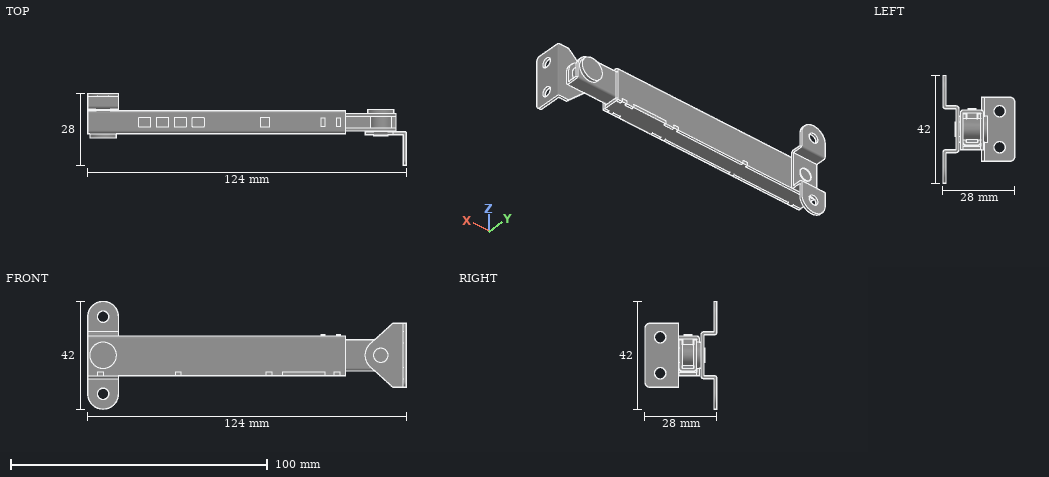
import cadquery as cq
import math


total_length = 124.0

housing_length = 100.5
housing_width = 9.0
housing_wall = 1.1
housing_roof = 1.2
housing_top = 7.6
housing_bottom = -8.0
housing_edge_radius = 1.2
bore_width = housing_width - 2 * housing_wall
bore_top = housing_top - housing_roof

window_width = 3.8
window_corner_radius = 0.4
row_window_length = 4.7
row_window_pitch = 7.0
row_window_count = 4
first_window_x = 22.2
single_window_length = 3.6
single_window_x = 69.1

lug_length = 1.6
lug_width = 3.2
lug_rise = 0.5
lug_centers_x = (91.6, 97.6)
stop_width = 4.1
stop_bottom = 3.7

floor_thickness = 1.5
floor_tabs = ((3.8, 6.2), (34.1, 36.3), (69.5, 71.7), (75.9, 92.4), (96.0, 98.2))

rivet_head_diameter = 10.3
rivet_head_thickness = 1.6
rivet_barrel_diameter = 8.2
rivet_stub_diameter = 5.6
rivet_stub_rise = 0.4

bracket_width = 12.0
bracket_sheet = 1.2
bracket_height = 42.0
bracket_back = 11.3
bracket_gap = 0.5
bracket_saddle_half = 9.2
bracket_bend_radius = 1.2
bracket_flange_bend_radius = 1.0
screw_hole_diameter = 4.3
wall_rivet_x = bracket_width / 2

slide_start = 55.8
slide_width = bore_width
slide_wall = 1.2
slide_top = 6.1
slide_bottom = -6.2
slide_edge_radius = 1.1
slide_end_radius = 6.0
slide_start_radius = 1.9
slide_rivet_x = 114.1
slide_end = slide_rivet_x + slide_end_radius

angle_sheet = 1.2
angle_height = 25.0
angle_gap = 0.2
angle_nose_radius = 6.1
angle_shoulder_x = 118.8
angle_front = -16.7
angle_corner_radius = 2.0
angle_bend_radius = 0.4
angle_hole_y = -10.8
angle_hole_spacing = 14.0


def box(x_range, y_range, z_range):
    """Block that spans the given ranges."""
    sizes = [end - start for start, end in (x_range, y_range, z_range)]
    corner = cq.Vector(x_range[0], y_range[0], z_range[0])
    return cq.Workplane(cq.Solid.makeBox(*sizes, corner))


def centered(middle, size):
    """Range of the given size about a middle value."""
    return (middle - size / 2, middle + size / 2)


def cylinder_y(x, z, diameter, y_start, y_end):
    """Cylinder along Y between two Y values."""
    start = cq.Vector(x, y_start, z)
    return cq.Workplane(cq.Solid.makeCylinder(diameter / 2, y_end - y_start, start, cq.Vector(0, 1, 0)))


def make_rivet(x, shank_width, wall, gap, sheet):
    """Rivet with its head on -Y; the stub goes through the far wall, a gap and a sheet."""
    side = shank_width / 2
    shoulder = side - wall
    head = cylinder_y(x, 0, rivet_head_diameter, -side - rivet_head_thickness, -side)
    barrel = cylinder_y(x, 0, rivet_barrel_diameter, -side, shoulder)
    stub = cylinder_y(x, 0, rivet_stub_diameter, shoulder, side + gap + sheet + rivet_stub_rise)
    return head.union(barrel).union(stub)


def make_floor():
    """Strip between the housing walls, with tabs that fill notches in the walls."""
    floor_z = (housing_bottom, housing_bottom + floor_thickness)
    floor = box((0, housing_length), centered(0, bore_width), floor_z)
    for tab_x in floor_tabs:
        floor = floor.union(box(tab_x, centered(0, housing_width), floor_z))
    return floor


def make_stop():
    """Block that hangs from the housing roof between the slide walls."""
    stop_x = (lug_centers_x[0] - lug_length / 2, lug_centers_x[-1] + lug_length / 2)
    stop = box(stop_x, centered(0, stop_width), (stop_bottom, bore_top))
    for lug_x in lug_centers_x:
        lug_z = (bore_top, housing_top + lug_rise)
        stop = stop.union(box(centered(lug_x, lug_length), centered(0, lug_width), lug_z))
    return stop


def make_window(x, length):
    """Cutter for one window in the housing roof."""
    window = box(centered(x, length), centered(0, window_width), (bore_top, housing_top))
    return window.edges("|Z").fillet(window_corner_radius)


def make_housing(floor, rivet):
    """Inverted channel with roof windows, the stop block, floor notches and the rivet hole."""
    whole_x = (0, housing_length)
    housing = box(whole_x, centered(0, housing_width), (housing_bottom, housing_top))
    housing = housing.edges("|X and >Z").fillet(housing_edge_radius)
    housing = housing.cut(box(whole_x, centered(0, bore_width), (housing_bottom, bore_top)))
    for i in range(row_window_count):
        housing = housing.cut(make_window(first_window_x + i * row_window_pitch, row_window_length))
    housing = housing.cut(make_window(single_window_x, single_window_length))
    return housing.union(make_stop()).cut(floor).cut(rivet)


def make_slide(rivet):
    """Channel with rounded upper ends and the rivet hole."""
    whole_x = (slide_start, slide_end)
    slide = box(whole_x, centered(0, slide_width), (slide_bottom, slide_top))
    slide = slide.edges("|X and <Z").fillet(slide_edge_radius)
    channel_z = (slide_bottom + slide_wall, slide_top)
    slide = slide.cut(box(whole_x, centered(0, slide_width - 2 * slide_wall), channel_z))
    slide = slide.edges("|Y and >X and >Z").fillet(slide_end_radius)
    slide = slide.edges("|Y and <X and >Z").fillet(slide_start_radius)
    return slide.cut(rivet)


def make_wall_bracket(rivet):
    """Hat-shaped sheet with round ears, fused with its rivet."""
    saddle = housing_width / 2 + bracket_gap
    ear_front = bracket_back - bracket_sheet
    whole_x = (0, bracket_width)
    hole_z = (bracket_height - bracket_width) / 2

    hat = box(whole_x, (saddle, bracket_back), centered(0, 2 * bracket_saddle_half))
    hat = hat.edges("|X and <Y").fillet(bracket_bend_radius)
    sheet = box(whole_x, (ear_front, bracket_back), centered(0, 2 * hole_z))
    for side in (-1, 1):
        sheet = sheet.union(
            cylinder_y(wall_rivet_x, side * hole_z, bracket_width, ear_front, bracket_back)
        )
    recess_half = bracket_saddle_half - bracket_sheet
    recess = box(whole_x, (saddle + bracket_sheet, bracket_back), centered(0, 2 * recess_half))
    bracket = hat.union(sheet).cut(recess)
    bracket = bracket.faces(">Y").edges("|X").fillet(bracket_flange_bend_radius)
    for side in (-1, 1):
        bracket = bracket.cut(
            cylinder_y(wall_rivet_x, side * hole_z, screw_hole_diameter, ear_front, bracket_back)
        )
    return bracket.union(rivet)


def make_angle_bracket(rivet):
    """Sheet with a round nose on the rivet and a flange turned toward -Y, fused with its rivet."""
    plate_back = -slide_width / 2 - angle_gap
    half_height = angle_height / 2
    run = angle_shoulder_x - slide_rivet_x
    distance = math.hypot(run, half_height)
    tangent_angle = math.atan2(half_height, run) + math.acos(angle_nose_radius / distance)
    tangent_x = slide_rivet_x + angle_nose_radius * math.cos(tangent_angle)
    tangent_z = angle_nose_radius * math.sin(tangent_angle)
    plate = (
        cq.Workplane("XZ", origin=(0, plate_back, 0))
        .moveTo(total_length, half_height)
        .lineTo(angle_shoulder_x, half_height)
        .lineTo(tangent_x, tangent_z)
        .threePointArc((slide_rivet_x - angle_nose_radius, 0), (tangent_x, -tangent_z))
        .lineTo(angle_shoulder_x, -half_height)
        .lineTo(total_length, -half_height)
        .close()
        .extrude(angle_sheet)
    )
    flange_x = (total_length - angle_sheet, total_length)
    flange = box(flange_x, (angle_front, plate_back), centered(0, angle_height))
    flange = flange.edges("|X and <Y").fillet(angle_corner_radius)
    for hole_z in centered(0, angle_hole_spacing):
        start = cq.Vector(flange_x[0], angle_hole_y, hole_z)
        hole = cq.Solid.makeCylinder(screw_hole_diameter / 2, angle_sheet, start, cq.Vector(1, 0, 0))
        flange = flange.cut(cq.Workplane(hole))
    bracket = plate.union(flange)
    bracket = bracket.edges("|Z and >X and >Y").fillet(angle_bend_radius)
    return bracket.union(rivet)


wall_rivet = make_rivet(wall_rivet_x, housing_width, housing_wall, bracket_gap, bracket_sheet)
slide_rivet = make_rivet(slide_rivet_x, slide_width, slide_wall, angle_gap, angle_sheet).mirror("XZ")

floor = make_floor()
housing = make_housing(floor, wall_rivet)
slide = make_slide(slide_rivet)
wall_bracket = make_wall_bracket(wall_rivet)
angle_bracket = make_angle_bracket(slide_rivet)

result = cq.Compound.makeCompound(
    [housing.val(), floor.val(), slide.val(), wall_bracket.val(), angle_bracket.val()]
)